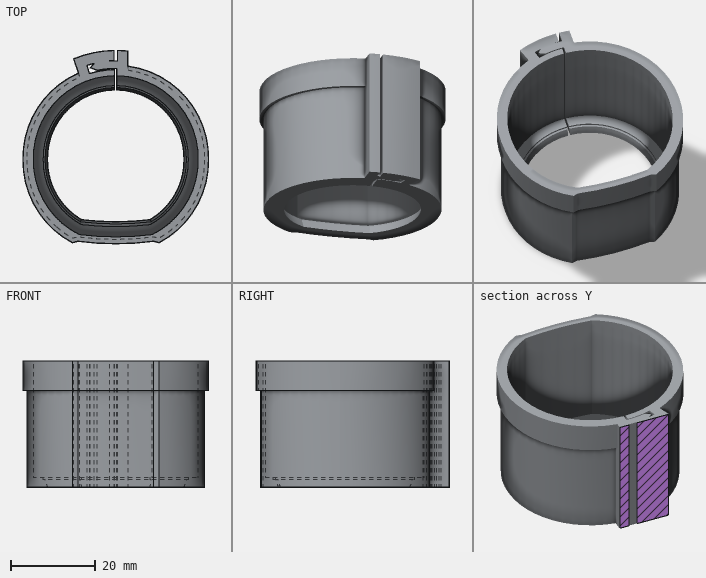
import cadquery as cq
import math

HEIGHT = 30.0
COLLAR_HEIGHT = 7.05
COLLAR_RADIUS = 22.05
COLLAR_DEPTH = 20.0
BODY_RADIUS = 21.1
BODY_DEPTH = 18.95
EAR_X = 10.3
NOTCH_X = 9.0
ARCH_RISE = 0.35
LOWER_SHIFT = 0.25
FACE_RADIUS = 68.92

BORE_RADIUS = 19.57
BORE_DEPTH = 18.35
LIP_HEIGHT = 2.3
LIP_RADIUS = 17.25
LIP_DEPTH = 15.9
STEP_HEIGHT = 1.85
STEP_RADIUS = 16.75
STEP_DEPTH = 15.25
MOUTH_RADIUS = 16.17
MOUTH_DEPTH = 14.7

CLASP_RADIUS = 25.95
CLASP_LEFT_X = -10.0
CLASP_END_ANGLE = 18.7
BLOCK_X = 2.9
UPPER_GAP_LEFT = -0.4
UPPER_GAP_RIGHT = 0.35
UPPER_GAP_FLOOR = 23.45
SLIT_LEFT = -1.45
SLIT_WIDTH = 0.07
SPLIT_LEFT = -0.28
SPLIT_RIGHT = 0.25
TONGUE_RADIUS = 21.65
SEAT_RADIUS = 21.4
HOOK_HEEL_X = -4.4
HOOK_TIP = (-6.05, 21.83)
HOOK_BACK = (-5.15, 22.85)
POCKET_TOP = (-6.8, 22.4)
POCKET_BOTTOM_X = -6.25


def on_circle(radius, x):
    """Point at x on the +Y half of a circle about the axis."""
    return (x, math.sqrt(radius**2 - x**2))


def face_y(depth, x):
    """Y of a shallow face at x."""
    return FACE_RADIUS - depth - math.sqrt(FACE_RADIUS**2 - x**2)


def lower_arc_radius(half_width):
    """Radius of the -Y arcs, which pass through the half width on the X axis."""
    return math.hypot(half_width, LOWER_SHIFT)


def lower_arc_y(half_width, x):
    """Y of the -Y arcs at x."""
    return -LOWER_SHIFT - on_circle(lower_arc_radius(half_width), x)[1]


def face_corner_x(half_width, depth):
    """X where the -Y arcs meet a shallow face."""
    radius = lower_arc_radius(half_width)
    center_gap = FACE_RADIUS - depth + LOWER_SHIFT
    rise = (radius**2 - FACE_RADIUS**2 + center_gap**2) / (2 * center_gap)
    return math.sqrt(radius**2 - rise**2)


def add_arch(plane, half_width, corner_x):
    """Wrap from the right corner over the top to the left corner."""
    corner_y = lower_arc_y(half_width, corner_x)
    flank_x = (half_width + corner_x) / 2
    flank_y = lower_arc_y(half_width, flank_x)
    return (
        plane.moveTo(corner_x, corner_y)
        .threePointArc((flank_x, flank_y), (half_width, 0))
        .threePointArc((0, half_width + ARCH_RISE), (-half_width, 0))
        .threePointArc((-flank_x, flank_y), (-corner_x, corner_y))
    )


def outer_outline(radius, depth, base):
    """Round wall outline with a shallow face between two small ridges."""
    notch_y = face_y(depth, NOTCH_X)
    plane = cq.Workplane("XY").workplane(offset=base)
    return (
        add_arch(plane, radius, EAR_X)
        .lineTo(-NOTCH_X, notch_y)
        .threePointArc((0, -depth), (NOTCH_X, notch_y))
        .close()
    )


def inner_outline(plane, radius, depth):
    """Bore outline: an arch closed by a shallow face."""
    corner_x = face_corner_x(radius, depth)
    return (
        add_arch(plane, radius, corner_x)
        .threePointArc((0, -depth), (corner_x, lower_arc_y(radius, corner_x)))
        .close()
    )


def make_clasp():
    """Full-height raised sector straddling the split."""
    root_radius = (BORE_RADIUS + BODY_RADIUS) / 2
    outer_left = on_circle(CLASP_RADIUS, CLASP_LEFT_X)
    end_angle = math.radians(CLASP_END_ANGLE)
    end_length = CLASP_RADIUS - root_radius
    root_left = (
        outer_left[0] + end_length * math.sin(end_angle),
        outer_left[1] - end_length * math.cos(end_angle),
    )
    return (
        cq.Workplane("XY")
        .moveTo(*root_left)
        .lineTo(*outer_left)
        .threePointArc((0, CLASP_RADIUS), on_circle(CLASP_RADIUS, BLOCK_X))
        .lineTo(*on_circle(root_radius, BLOCK_X))
        .threePointArc((0, root_radius), root_left)
        .close()
        .extrude(HEIGHT)
    )


def make_bore():
    """Stepped bore with a tapered mouth at the bottom."""
    bottom = cq.Workplane("XY")
    mouth_plane = inner_outline(bottom, MOUTH_RADIUS, MOUTH_DEPTH).workplane(offset=STEP_HEIGHT)
    mouth = inner_outline(mouth_plane, STEP_RADIUS, STEP_DEPTH).loft(ruled=True)
    step_plane = cq.Workplane("XY").workplane(offset=STEP_HEIGHT)
    step = inner_outline(step_plane, LIP_RADIUS, LIP_DEPTH).extrude(LIP_HEIGHT - STEP_HEIGHT)
    bore_plane = cq.Workplane("XY").workplane(offset=LIP_HEIGHT)
    bore = inner_outline(bore_plane, BORE_RADIUS, BORE_DEPTH).extrude(HEIGHT - LIP_HEIGHT)
    return mouth.union(step).union(bore)


def make_slot(left, right, inner_y, outer_y):
    """Full-height straight gap."""
    return (
        cq.Workplane("XY")
        .center((left + right) / 2, (inner_y + outer_y) / 2)
        .rect(right - left, outer_y - inner_y)
        .extrude(HEIGHT)
    )


def make_hook_pocket():
    """Clearance around the hook tip and beneath the tongue."""
    middle_x = HOOK_HEEL_X / 2
    return (
        cq.Workplane("XY")
        .moveTo(*POCKET_TOP)
        .lineTo(*HOOK_BACK)
        .lineTo(*HOOK_TIP)
        .lineTo(*on_circle(TONGUE_RADIUS, HOOK_HEEL_X))
        .threePointArc(on_circle(TONGUE_RADIUS, middle_x), on_circle(TONGUE_RADIUS, SPLIT_RIGHT))
        .lineTo(*on_circle(SEAT_RADIUS, SPLIT_RIGHT))
        .threePointArc(on_circle(SEAT_RADIUS, middle_x), on_circle(SEAT_RADIUS, POCKET_BOTTOM_X))
        .close()
        .extrude(HEIGHT)
    )


body = outer_outline(BODY_RADIUS, BODY_DEPTH, 0).extrude(HEIGHT)
collar = outer_outline(COLLAR_RADIUS, COLLAR_DEPTH, HEIGHT - COLLAR_HEIGHT).extrude(COLLAR_HEIGHT)
ring = body.union(collar).union(make_clasp()).cut(make_bore())

ring_split = make_slot(SPLIT_LEFT, SPLIT_RIGHT, 0, SEAT_RADIUS)
upper_gap = make_slot(UPPER_GAP_LEFT, UPPER_GAP_RIGHT, UPPER_GAP_FLOOR, CLASP_RADIUS)
slit = make_slot(SLIT_LEFT, UPPER_GAP_LEFT, UPPER_GAP_FLOOR, UPPER_GAP_FLOOR + SLIT_WIDTH)
result = ring.cut(ring_split).cut(upper_gap).cut(slit).cut(make_hook_pocket())